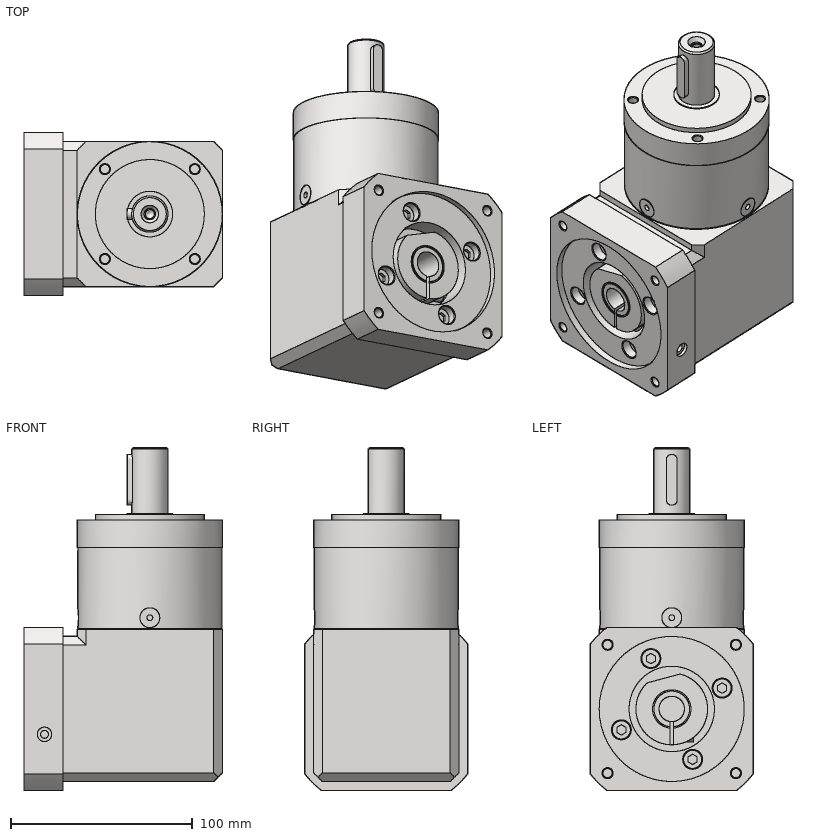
import cadquery as cq
import math


block_size = 80.1
block_half = block_size / 2
block_top = 43.8
block_chamfer = 5.0

flange_size = 90.0
flange_corner_dia = 115.0
flange_thickness = 21.5
flange_face_x = -69.4
flange_back_x = flange_face_x + flange_thickness
pilot_bore_dia = 80.0
pilot_bore_depth = 4.0
pilot_floor_x = flange_face_x + pilot_bore_depth
flange_hole_offset = 35.3
flange_hole_dia = 5.1
flange_hole_mouth_dia = 6.0
flange_hole_depth = 15.1

cap_screw_count = 4
cap_screw_circle_radius = 30.0
cap_screw_angle = 22.5
cap_recess_dia = 10.0
cap_recess_mouth_dia = 11.0
cap_recess_depth = 5.7
cap_socket_width = 5.0
cap_socket_depth = 1.9

hub_cavity_dia = 47.0
hub_cavity_depth = 15.1
hub_dia = 39.5
hub_recess = 1.3
hub_face_x = pilot_floor_x + hub_recess
hub_flat_distance = 17.4
hub_flat_angle = -15.0
hub_bore_dia = 14.0
hub_bore_depth = 22.7
hub_slit_width = 1.7
hub_slit_length = 9.5
hub_groove_outer_dia = 21.2
hub_groove_inner_dia = 19.7
hub_groove_depth = 0.5

access_x = flange_face_x + 11.3
access_z = -14.0
access_dia = 8.0
access_depth = 1.9
access_socket_dia = 4.3
access_socket_depth = 3.8
clamp_head_dia = 8.7
clamp_head_inner_y = -6.6
clamp_head_outer_y = -12.0

gear_dia = 79.5
gear_neck_dia = 78.6
gear_neck_height = 0.5
ring_dia = 80.1
ring_bottom = 88.8
ring_top = 104.1
boss_dia = 60.1
boss_top = 107.2
seal_dia = 25.1
seal_height = 0.5
cover_hole_offset = 24.8
cover_hole_dia = 5.1
cover_hole_mouth_dia = 6.0
cover_hole_depth = 11.3

plug_z = 50.3
plug_dia = 11.0
plug_face_radius = 39.3
plug_socket_dia = 3.2
plug_socket_depth = 1.9
plug_angles = (90, 180, 270)

shaft_dia = 20.0
shaft_top = 144.0
shaft_chamfer = 1.0
center_mouth_dia = 9.6
center_mouth_depth = 2.5
center_step_dia = 6.2
center_step_depth = 3.4
center_drill_dia = 5.0
center_drill_depth = 15.1
center_tip_depth = 1.5
key_width = 6.0
key_length = 28.0
key_top = shaft_top - 3.8
key_face_radius = 12.5


def cylinder_z(diameter, bottom, top):
    return cq.Workplane("XY").workplane(offset=bottom).circle(diameter / 2).extrude(top - bottom)


def cylinder_x(diameter, start, length, y=0, z=0):
    return cq.Workplane("YZ", origin=(start, y, z)).circle(diameter / 2).extrude(length)


def cone(wide_dia, narrow_dia, origin, direction):
    """45-degree countersink narrowing from its origin along a direction."""
    depth = (wide_dia - narrow_dia) / 2
    solid = cq.Solid.makeCone(wide_dia / 2, narrow_dia / 2, depth, cq.Vector(origin), cq.Vector(direction))
    return cq.Workplane(solid)


def square_corners(offset):
    return [(a * offset, b * offset) for a in (-1, 1) for b in (-1, 1)]


def make_block():
    length = block_half - flange_back_x
    lower = cq.Workplane("YZ", origin=(flange_back_x, 0, 0)).rect(block_size, block_size).extrude(length)
    long_bevels = lower.edges("|X").chamfer(block_chamfer)
    upright_bevels = lower.edges("|Z and >X").chamfer(block_chamfer)
    bottom_bevel = lower.edges("|Y and >X and <Z").chamfer(block_chamfer)
    lower = long_bevels.intersect(upright_bevels).intersect(bottom_bevel)
    upper = cq.Workplane("XY").rect(block_size, block_size).extrude(block_top)
    upper = upper.edges("|Z").chamfer(block_chamfer)
    return lower.union(upper)


def make_flange():
    plate = cq.Workplane("YZ", origin=(flange_face_x, 0, 0)).rect(flange_size, flange_size)
    plate = plate.extrude(flange_thickness)
    return plate.intersect(cylinder_x(flange_corner_dia, flange_face_x, flange_thickness))


def cut_flange_holes(body):
    body = body.cut(cylinder_x(pilot_bore_dia, flange_face_x, pilot_bore_depth))
    for y, z in square_corners(flange_hole_offset):
        body = body.cut(cylinder_x(flange_hole_dia, flange_face_x, flange_hole_depth, y, z))
        body = body.cut(cone(flange_hole_mouth_dia, flange_hole_dia, (flange_face_x, y, z), (1, 0, 0)))
    return body


def cut_cap_screw_recesses(body):
    head_x = pilot_floor_x + cap_recess_depth
    socket_corner_dia = cap_socket_width / math.cos(math.pi / 6)
    for i in range(cap_screw_count):
        angle = math.radians(cap_screw_angle + i * 360 / cap_screw_count)
        y = cap_screw_circle_radius * math.sin(angle)
        z = cap_screw_circle_radius * math.cos(angle)
        socket = cq.Workplane("YZ", origin=(head_x, y, z)).transformed(rotate=(0, 0, 90))
        socket = socket.polygon(6, socket_corner_dia).extrude(cap_socket_depth)
        recess = cylinder_x(cap_recess_dia, pilot_floor_x, cap_recess_depth, y, z)
        mouth = cone(cap_recess_mouth_dia, cap_recess_dia, (pilot_floor_x, y, z), (1, 0, 0))
        body = body.cut(recess).cut(mouth).cut(socket)
    return body


def add_clamp_hub(body):
    body = body.cut(cylinder_x(hub_cavity_dia, pilot_floor_x, hub_cavity_depth))
    hub_length = hub_cavity_depth - hub_recess
    hub = cylinder_x(hub_dia, hub_face_x, hub_length)
    flat_cut = cq.Workplane("XY").box(hub_length, hub_dia, hub_dia, centered=(False, True, False))
    flat_cut = flat_cut.translate((hub_face_x, 0, hub_flat_distance))
    hub = hub.cut(flat_cut.rotate((0, 0, 0), (1, 0, 0), hub_flat_angle))
    groove = cylinder_x(hub_groove_outer_dia, hub_face_x, hub_groove_depth)
    groove = groove.cut(cylinder_x(hub_groove_inner_dia, hub_face_x, hub_groove_depth))
    slit = cq.Workplane("XY").box(hub_slit_length, hub_slit_width, hub_dia / 2, centered=(False, True, False))
    slit = slit.translate((hub_face_x, 0, -hub_dia / 2))
    clamp_head = cq.Workplane("XZ", origin=(access_x, clamp_head_inner_y, access_z))
    clamp_head = clamp_head.circle(clamp_head_dia / 2).extrude(clamp_head_inner_y - clamp_head_outer_y)
    hub = hub.union(clamp_head).cut(groove).cut(slit)
    return body.union(hub).cut(cylinder_x(hub_bore_dia, hub_face_x, hub_bore_depth))


def cut_access_hole(body):
    side = cq.Workplane("XZ", origin=(access_x, -flange_size / 2, access_z))
    recess = side.circle(access_dia / 2).extrude(-access_depth)
    socket = side.circle(access_socket_dia / 2).extrude(-access_depth - access_socket_depth)
    return body.cut(recess).cut(socket)


def make_gear_housing():
    gear_bottom = block_top + gear_neck_height
    housing = cylinder_z(gear_dia, gear_bottom, ring_bottom)
    for angle in plug_angles:
        recess = cylinder_x(plug_dia, plug_face_radius, gear_dia / 2, z=plug_z)
        socket = cylinder_x(plug_socket_dia, plug_face_radius - plug_socket_depth, gear_dia / 2, z=plug_z)
        housing = housing.cut(recess.union(socket).rotate((0, 0, 0), (0, 0, 1), angle))
    housing = housing.union(cylinder_z(gear_neck_dia, block_top, gear_bottom))
    housing = housing.union(cylinder_z(ring_dia, ring_bottom, ring_top))
    for x, y in square_corners(cover_hole_offset):
        hole = cylinder_z(cover_hole_dia, ring_top - cover_hole_depth, ring_top)
        housing = housing.cut(hole.translate((x, y, 0)))
        housing = housing.cut(cone(cover_hole_mouth_dia, cover_hole_dia, (x, y, ring_top), (0, 0, -1)))
    housing = housing.union(cylinder_z(boss_dia, ring_top, boss_top))
    return housing.union(cylinder_z(seal_dia, boss_top, boss_top + seal_height))


def make_shaft():
    shaft = cylinder_z(shaft_dia, boss_top, shaft_top).faces(">Z").chamfer(shaft_chamfer)
    key = cq.Workplane("YZ", origin=(-key_face_radius, 0, key_top - key_length / 2))
    key = key.slot2D(key_length, key_width, 90).extrude(key_face_radius)
    shaft = shaft.union(key)
    return shaft.cut(make_center_hole())


def make_center_hole():
    """Stepped center hole: conical mouth, short step and a drill point."""
    profile = [
        (0, 0),
        (center_mouth_dia / 2, 0),
        (center_step_dia / 2, -center_mouth_depth),
        (center_step_dia / 2, -center_step_depth),
        (center_drill_dia / 2, -center_step_depth),
        (center_drill_dia / 2, -center_drill_depth),
        (0, -center_drill_depth - center_tip_depth),
    ]
    hole = cq.Workplane("XZ").polyline(profile).close().revolve(360, (0, 0), (0, 1))
    return hole.translate((0, 0, shaft_top))


result = make_block().union(make_flange())
result = cut_flange_holes(result)
result = cut_cap_screw_recesses(result)
result = add_clamp_hub(result)
result = cut_access_hole(result)
result = result.union(make_gear_housing()).union(make_shaft())